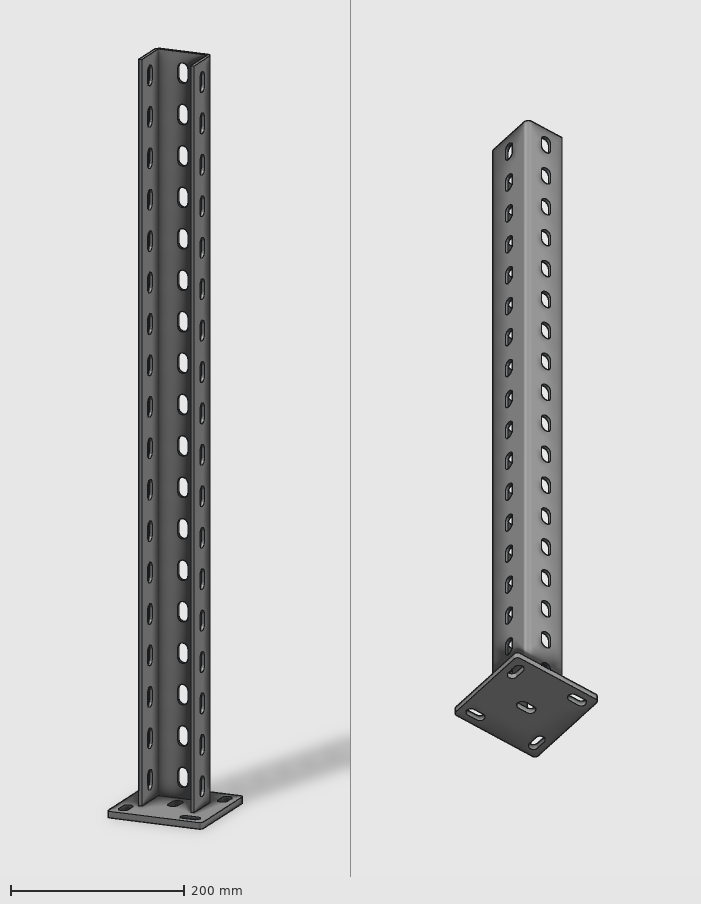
import cadquery as cq

PLATE_SIDE = 120.0
PLATE_THICKNESS = 8.0
PLATE_CORNER_RADIUS = 4.5
ANCHOR_SLOT_LENGTH = 24.5
ANCHOR_SLOT_WIDTH = 12.0
ANCHOR_SLOT_MARGIN = 8.6

TOTAL_HEIGHT = 908.0
CHANNEL_WIDTH = 70.0
CHANNEL_DEPTH = 51.0
WALL = 4.0
INNER_BEND_RADIUS = 1.4
OUTER_BEND_RADIUS = 6.0
FLANGE_SLOT_OFFSET = 2.0

SLOT_LENGTH = 24.5
SLOT_WIDTH = 13.0
SLOT_PITCH = 50.0
SLOT_COUNT = 18

CHANNEL_HEIGHT = TOTAL_HEIGHT - PLATE_THICKNESS
FIRST_SLOT_Z = PLATE_THICKNESS + (CHANNEL_HEIGHT - (SLOT_COUNT - 1) * SLOT_PITCH) / 2


def make_plate():
    """Square plate with a central slot and four corner slots arranged as a pinwheel."""
    plate = (
        cq.Workplane("XY")
        .rect(PLATE_SIDE, PLATE_SIDE)
        .extrude(PLATE_THICKNESS)
        .edges("|Z")
        .fillet(PLATE_CORNER_RADIUS)
    )
    centre_slot = cq.Workplane("XY").slot2D(SLOT_LENGTH, SLOT_WIDTH, 90).extrude(PLATE_THICKNESS)
    plate = plate.cut(centre_slot)

    slot_x = -PLATE_SIDE / 2 + ANCHOR_SLOT_MARGIN + ANCHOR_SLOT_LENGTH / 2
    slot_y = PLATE_SIDE / 2 - ANCHOR_SLOT_MARGIN - ANCHOR_SLOT_WIDTH / 2
    anchor_slot = (
        cq.Workplane("XY")
        .center(slot_x, slot_y)
        .slot2D(ANCHOR_SLOT_LENGTH, ANCHOR_SLOT_WIDTH)
        .extrude(PLATE_THICKNESS)
    )
    for angle in (0, 90, 180, 270):
        plate = plate.cut(anchor_slot.rotate((0, 0, 0), (0, 0, 1), angle))
    return plate


def make_channel():
    """Bent U channel standing on the plate, with rounded bends along the web."""
    outer = (
        cq.Workplane("XY", origin=(0, 0, PLATE_THICKNESS))
        .rect(CHANNEL_WIDTH, CHANNEL_DEPTH)
        .extrude(CHANNEL_HEIGHT)
        .edges("|Z and >Y")
        .fillet(OUTER_BEND_RADIUS)
    )
    inner = (
        cq.Workplane("XY", origin=(0, -WALL, PLATE_THICKNESS))
        .rect(CHANNEL_WIDTH - 2 * WALL, CHANNEL_DEPTH)
        .extrude(CHANNEL_HEIGHT)
        .edges("|Z and >Y")
        .fillet(INNER_BEND_RADIUS)
    )
    return outer.cut(inner)


def make_slot_row(plane, offset):
    """Column of upright slot cutters, passing through both sides of the channel."""
    centres = [(offset, FIRST_SLOT_Z + i * SLOT_PITCH) for i in range(SLOT_COUNT)]
    return (
        cq.Workplane(plane)
        .pushPoints(centres)
        .slot2D(SLOT_LENGTH, SLOT_WIDTH, 90)
        .extrude(CHANNEL_WIDTH, both=True)
    )


web_slots = make_slot_row("XZ", 0)
flange_slots = make_slot_row("YZ", -FLANGE_SLOT_OFFSET)
channel = make_channel().cut(web_slots).cut(flange_slots)

result = make_plate().union(channel)